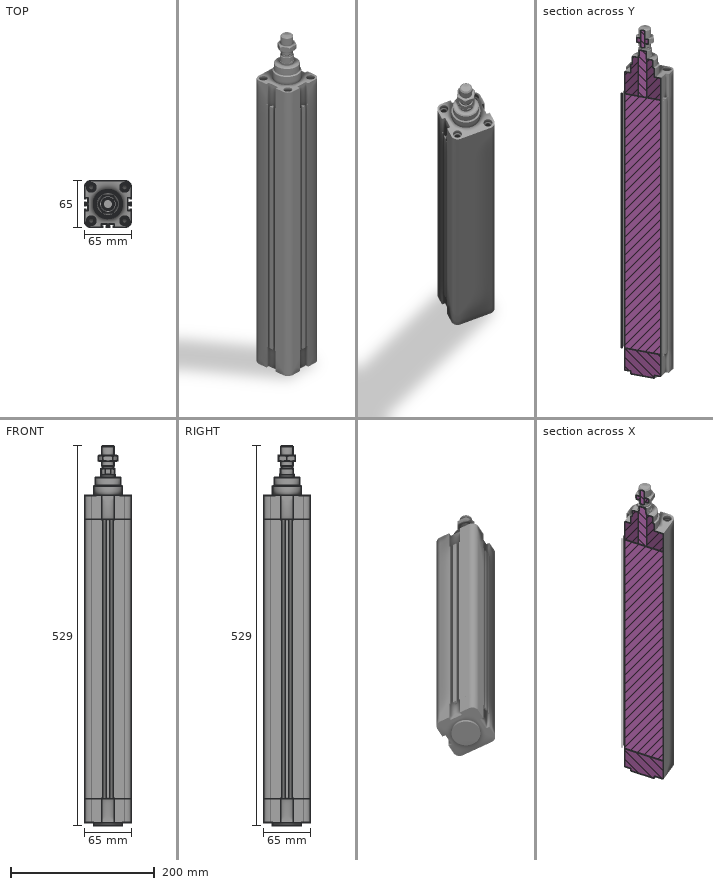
import cadquery as cq
import math


overall_height = 529.0
rear_boss_height = 4.0
cap_height = 33.5
barrel_height = 389.0
rear_cap_bottom = rear_boss_height
barrel_bottom = rear_cap_bottom + cap_height
front_cap_bottom = barrel_bottom + barrel_height
front_cap_top = front_cap_bottom + cap_height

section_side = 65.0
section_corner_radius = 9.5
half_side = section_side / 2

groove_face_angles = [0, 90, -90]
groove_width = 17.5
groove_depth = 5.0
lip_opening = 14.5
lip_thickness = 1.5
rail_head_width = 5.5
rail_stem_width = 3.0

boss_diameter = 40.0
collar_base_height = 14.0
collar_nose_diameter = 36.0
collar_height = 25.5
collar_rim_bevel_width = 1.5
collar_bevel_height = 1.0
screw_pitch = 46.5
screw_recess_diameter = 12.5
screw_recess_depth = 6.5
screw_recess_chamfer = 0.25
screw_hole_diameter = 8.0
screw_hole_depth = 16.0
screw_hole_chamfer = 0.25
drill_point_angle = 118.0

rod_diameter = 20.0
rod_step = 488.5
rod_upper_diameter = 19.5
rod_shoulder_top = 496.5
flat_bottom = 489.5
flats_across = 18.0
neck_diameter = 16.0
thread_bottom = 499.5
thread_diameter = 17.5
thread_chamfer = 1.85

nut_bottom = 507.5
nut_height = 8.0
nut_across_flats = 24.0
nut_chamfer_angle = 30.0


def cylinder(diameter, bottom, height):
    """Cylinder on the Z axis."""
    return cq.Workplane("XY").workplane(offset=bottom).circle(diameter / 2).extrude(height)


def box(width, depth, bottom, height, y_start):
    """Box centred on X that starts at y_start and runs towards +Y."""
    return cq.Workplane("XY").box(width, depth, height, centered=(True, False, False)).translate(
        (0, y_start, bottom)
    )


def rounded_square(bottom, height):
    """Square prism with rounded vertical edges."""
    prism = box(section_side, section_side, bottom, height, -half_side)
    return prism.edges("|Z").fillet(section_corner_radius)


def cut_on_grooved_faces(body, cutter):
    """Cut a groove shaped for the -Y face into every grooved face."""
    for angle in groove_face_angles:
        body = body.cut(cutter.rotate((0, 0, 0), (0, 0, 1), angle))
    return body


def make_barrel():
    """Barrel with lipped grooves, each holding a T-shaped rail along its middle."""
    inner_start = -half_side + lip_thickness
    inner_depth = groove_depth - lip_thickness
    opening = box(lip_opening, groove_depth, barrel_bottom, barrel_height, -half_side)
    undercut = box(groove_width, inner_depth, barrel_bottom, barrel_height, inner_start)
    rail_head = box(rail_head_width, lip_thickness, barrel_bottom, barrel_height, -half_side)
    rail_stem = box(rail_stem_width, groove_depth, barrel_bottom, barrel_height, -half_side)
    groove = opening.union(undercut).cut(rail_head).cut(rail_stem)
    return cut_on_grooved_faces(rounded_square(barrel_bottom, barrel_height), groove)


def make_cap_block(bottom):
    """Cap block with a plain notch in each grooved face."""
    notch = box(groove_width, groove_depth, bottom, cap_height, -half_side)
    return cut_on_grooved_faces(rounded_square(bottom, cap_height), notch)


def make_rear_cap():
    """Rear cap with its centring boss."""
    boss = cylinder(boss_diameter, 0, rear_boss_height)
    return make_cap_block(rear_cap_bottom).union(boss)


def make_screw_hole():
    """Recessed blind hole with a drill point, its mouth on the front cap's top face."""
    recess_radius = screw_recess_diameter / 2
    hole_radius = screw_hole_diameter / 2
    point_height = hole_radius / math.tan(math.radians(drill_point_angle / 2))
    half_profile = [
        (0, 0),
        (recess_radius, 0),
        (recess_radius - screw_recess_chamfer, -screw_recess_chamfer),
        (recess_radius - screw_recess_chamfer, -screw_recess_depth),
        (hole_radius + screw_hole_chamfer, -screw_recess_depth),
        (hole_radius, -screw_recess_depth - screw_hole_chamfer),
        (hole_radius, -screw_hole_depth),
        (0, -screw_hole_depth - point_height),
    ]
    hole = cq.Workplane("XZ").polyline(half_profile).close().revolve(360, (0, 0), (0, 1))
    return hole.translate((0, 0, front_cap_top))


def make_collar():
    """Collar whose wide base bevels in to a narrower nose with a bevelled rim."""
    base_radius = boss_diameter / 2
    nose_radius = collar_nose_diameter / 2
    half_profile = [
        (0, 0),
        (base_radius, 0),
        (base_radius, collar_base_height - collar_bevel_height),
        (nose_radius, collar_base_height),
        (nose_radius, collar_height - collar_bevel_height),
        (nose_radius - collar_rim_bevel_width, collar_height),
        (0, collar_height),
    ]
    collar = cq.Workplane("XZ").polyline(half_profile).close().revolve(360, (0, 0), (0, 1))
    return collar.translate((0, 0, front_cap_top))


def make_front_cap():
    """Front cap with a stepped collar, a rod bore and four screw holes."""
    cap = make_cap_block(front_cap_bottom).union(make_collar())
    bore_height = cap_height + collar_height
    cap = cap.cut(cylinder(rod_diameter, front_cap_bottom, bore_height))
    screw_hole = make_screw_hole()
    for x_side in (-1, 1):
        for y_side in (-1, 1):
            cap = cap.cut(screw_hole.translate((x_side * screw_pitch / 2, y_side * screw_pitch / 2, 0)))
    return cap


def make_piston_rod():
    """Stepped rod with wrench flats facing -Y and +Y, a neck and a threaded end."""
    lower_shaft = cylinder(rod_diameter, front_cap_bottom, rod_step - front_cap_bottom)
    upper_shaft = cylinder(rod_upper_diameter, rod_step, rod_shoulder_top - rod_step)
    shaft = lower_shaft.union(upper_shaft)
    flat_height = rod_shoulder_top - flat_bottom
    for y_start in (flats_across / 2, -flats_across / 2 - rod_diameter):
        shaft = shaft.cut(box(rod_diameter, rod_diameter, flat_bottom, flat_height, y_start))
    neck = cylinder(neck_diameter, rod_shoulder_top, thread_bottom - rod_shoulder_top)
    thread = cylinder(thread_diameter, thread_bottom, overall_height - thread_bottom)
    thread = thread.faces("<Z or >Z").chamfer(thread_chamfer)
    return shaft.union(neck).union(thread)


def make_lock_nut():
    """Hexagon nut, corners on the X axis, with its corners chamfered at both ends."""
    across_corners = nut_across_flats / math.cos(math.radians(30))
    corner_radius = across_corners / 2
    flat_radius = nut_across_flats / 2
    hexagon = cq.Workplane("XY").polygon(6, across_corners).extrude(nut_height)
    chamfer_drop = (corner_radius - flat_radius) * math.tan(math.radians(nut_chamfer_angle))
    envelope_profile = [
        (0, 0),
        (flat_radius, 0),
        (corner_radius, chamfer_drop),
        (corner_radius, nut_height - chamfer_drop),
        (flat_radius, nut_height),
        (0, nut_height),
    ]
    envelope = cq.Workplane("XZ").polyline(envelope_profile).close().revolve(360, (0, 0), (0, 1))
    nut = hexagon.intersect(envelope).translate((0, 0, nut_bottom))
    return nut.cut(cylinder(thread_diameter, nut_bottom, nut_height))


barrel = make_barrel()
rear_cap = make_rear_cap()
front_cap = make_front_cap()
piston_rod = make_piston_rod()
lock_nut = make_lock_nut()

result = cq.Compound.makeCompound(
    [barrel.val(), rear_cap.val(), front_cap.val(), piston_rod.val(), lock_nut.val()]
)